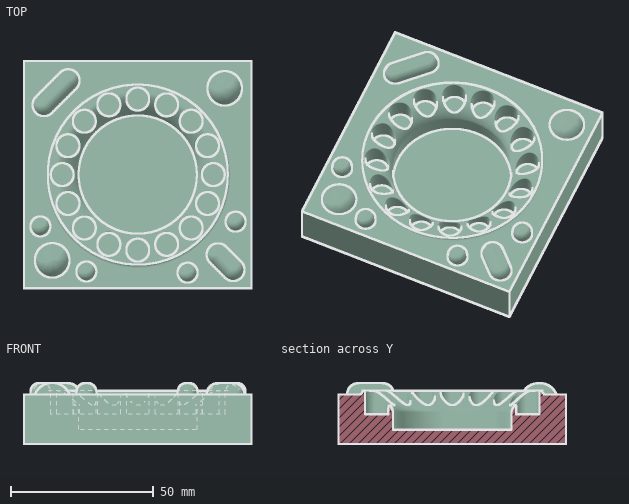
import cadquery as cq
import math

block_side = 80
block_height = 17.5
overall_height = 21.5
knob_height = overall_height - block_height

ring_radius = 31.7
ring_height = 1.3
ring_top = block_height + ring_height

pocket_radius = 20.8
pocket_floor = 5.1
mouth_radius = 28.8
mouth_bottom = 11.4
mouth_wall_pull = 1.6
mouth_top_pull = 3.2

cell_count = 16
cell_diameter = 8.1
cell_circle_radius = 26.6
cell_floor = 10.6
cell_rim_rounding = 0.4

dome_base_radius = 6.1
dome_tip_radius = 0.2
dome_centers = [(30.6, 30.3), (-30.1, -30.2)]

peg_diameter = 7.0
peg_rounding = 3.0
peg_centers = [(-34.2, -18.2), (-18.1, -34.1), (34.4, -16.6), (17.5, -34.5)]

key_radius = knob_height
key_across_center = (-28.7, 28.8)
key_across_length = 12.1
key_across_angle = 45
key_along_center = (30.9, -30.8)
key_along_length = 7.5
key_along_angle = -45


def make_ring():
    """Solid disc that sweeps out into the block's top face; the pocket later leaves only its rim."""
    return (
        cq.Workplane("XZ")
        .moveTo(0, block_height)
        .lineTo(ring_radius + ring_height, block_height)
        .radiusArc((ring_radius, ring_top), ring_height)
        .lineTo(0, ring_top)
        .close()
        .revolve(360, (0, 0, 0), (0, 1, 0))
    )


def make_pocket():
    """Revolved cutter for the pocket and its convex, flared mouth."""
    mouth_curve = [
        (pocket_radius, mouth_bottom),
        (pocket_radius, mouth_bottom + mouth_wall_pull),
        (mouth_radius - mouth_top_pull, ring_top),
        (mouth_radius, ring_top),
    ]
    return (
        cq.Workplane("XZ")
        .moveTo(0, pocket_floor)
        .lineTo(pocket_radius, pocket_floor)
        .lineTo(pocket_radius, mouth_bottom)
        .bezier(mouth_curve)
        .lineTo(0, ring_top)
        .close()
        .revolve(360, (0, 0, 0), (0, 1, 0))
    )


def make_cells():
    """Cutters for the ring of flat-bottomed cells."""
    return (
        cq.Workplane("XY").workplane(offset=cell_floor)
        .polarArray(cell_circle_radius, 0, 360, cell_count)
        .circle(cell_diameter / 2)
        .extrude(ring_top - cell_floor)
    )


def is_cell_rim(edge):
    """True for an edge around the open top of a cell: off the main axis and above the pocket wall."""
    middle = edge.Center()
    return math.hypot(middle.x, middle.y) > pocket_radius and middle.z > mouth_bottom


def make_dome(center):
    """Spherical cap, flattened at its tip."""
    run = dome_base_radius - dome_tip_radius
    arc_radius = (run ** 2 + knob_height ** 2) / (2 * knob_height)
    return (
        cq.Workplane("XZ")
        .lineTo(dome_base_radius, 0)
        .radiusArc((dome_tip_radius, knob_height), -arc_radius)
        .lineTo(0, knob_height)
        .close()
        .revolve(360, (0, 0, 0), (0, 1, 0))
        .translate((*center, block_height))
    )


def make_peg(center):
    """Short cylinder with a large rounding on its top edge."""
    return (
        cq.Workplane("XY").circle(peg_diameter / 2).extrude(knob_height)
        .faces(">Z").edges().fillet(peg_rounding)
        .translate((*center, block_height))
    )


def make_key(center, length, angle):
    """Round bar with ball ends, lying half sunk in the block's top face."""
    bar = cq.Workplane("YZ").circle(key_radius).extrude(length / 2, both=True)
    for end in (-length / 2, length / 2):
        bar = bar.union(cq.Workplane("XY").sphere(key_radius).translate((end, 0, 0)))
    return bar.rotate((0, 0, 0), (0, 0, 1), angle).translate((*center, block_height))


result = cq.Workplane("XY").box(block_side, block_side, block_height, centered=(True, True, False))
result = result.union(make_ring()).cut(make_pocket()).cut(make_cells())
result = result.faces("%CYLINDER").edges("not %LINE").filter(is_cell_rim).fillet(cell_rim_rounding)
for dome_center in dome_centers:
    result = result.union(make_dome(dome_center))
for peg_center in peg_centers:
    result = result.union(make_peg(peg_center))
result = result.union(make_key(key_across_center, key_across_length, key_across_angle))
result = result.union(make_key(key_along_center, key_along_length, key_along_angle))